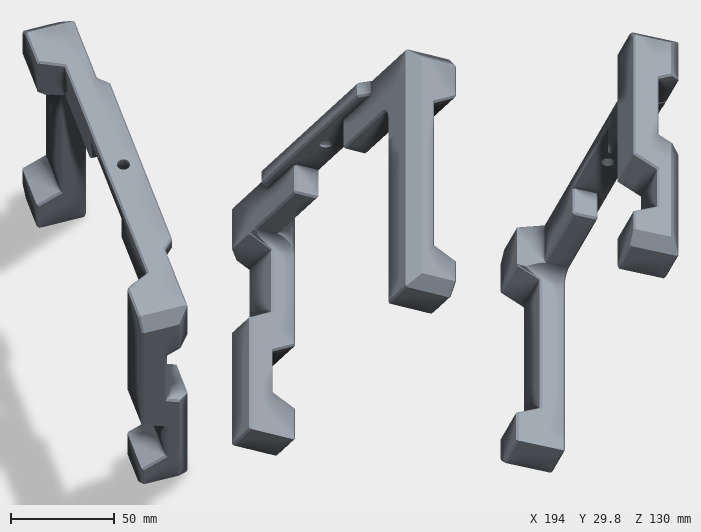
import cadquery as cq
width = 194.0
height = 130.0
body_depth = 24.8
tab_depth = 5.0

leg_width = 24.8
beam_height = 23.3
window_width = 49.9
window_height = 15.3
corner_cut = 6.0
inner_radius = 6.0
edge_break = 1.0

relief_depth = 12.0
relief_run = 6.0
left_block_height = 22.9
right_block_height = 78.2
foot_height = 17.5
rear_foot_height = 61.3

tab_width = 100.1
hole_diameter = 6.2
hole_from_tab_face = 9.0

half_width = width / 2
inner_half = half_width - leg_width
half_window = window_width / 2
beam_bottom = height - beam_height
tab_height = beam_height - window_height
relief_slope = relief_run / relief_depth
clearance = 2.0
flare_taper = -45


def edge_at(x, y, z):
    """Selector for the single edge whose middle is closest to the point (x, y, z)."""
    return cq.NearestToPointSelector((x, y, z))


def frame():
    """Inverted-U frame with cut outer corners and broken front and rear edges."""
    blank = (
        cq.Workplane("XZ")
        .moveTo(-half_width, corner_cut)
        .lineTo(-half_width, height - corner_cut)
        .lineTo(-half_width + corner_cut, height)
        .lineTo(half_width - corner_cut, height)
        .lineTo(half_width, height - corner_cut)
        .lineTo(half_width, corner_cut)
        .lineTo(half_width - corner_cut, 0)
        .lineTo(inner_half, 0)
        .lineTo(inner_half, beam_bottom)
        .lineTo(half_window, beam_bottom)
        .lineTo(half_window, height - tab_height)
        .lineTo(-half_window, height - tab_height)
        .lineTo(-half_window, beam_bottom)
        .lineTo(-inner_half, beam_bottom)
        .lineTo(-inner_half, 0)
        .lineTo(-half_width + corner_cut, 0)
        .close()
        .extrude(-body_depth)
    )
    mid_depth = body_depth / 2
    for side in (-1, 1):
        blank = blank.edges(edge_at(side * inner_half, mid_depth, beam_bottom)).fillet(inner_radius)
        blank = blank.edges(edge_at(side * half_window, mid_depth, beam_bottom)).chamfer(edge_break)
        blank = blank.edges(edge_at(side * half_width, body_depth, height / 2)).chamfer(corner_cut)
    blank = blank.faces("<Y").chamfer(edge_break)
    return blank.faces(">Y").edges("not(<X or >X)").chamfer(edge_break)


def recess_profile(plane, offset, low, high):
    """Trapezoid of a slanted-wall recess between low and high, drawn open to the front face."""
    spread = clearance * relief_slope
    return (
        cq.Workplane(plane)
        .workplane(offset=offset)
        .polyline(
            [
                (-clearance, low - spread),
                (relief_depth, low + relief_run),
                (relief_depth, high - relief_run),
                (-clearance, high + spread),
            ]
        )
        .close()
    )


def flare(plane, offset, low, high, run):
    """Widening end of a recess: it grows outward at 45 degrees over the given run."""
    return recess_profile(plane, offset, low, high).extrude(run, taper=flare_taper)


def leg_recess(low, high):
    """Recess across the right leg, bevelled on both sides and running on through the inner fillet."""
    start = inner_half - inner_radius
    cutter = recess_profile("YZ", start, low, high).extrude(half_width - start)
    cutter = cutter.union(flare("YZ", half_width - edge_break, low, high, edge_break))
    return cutter.union(flare("YZ", inner_half + edge_break, low, high, -edge_break))


def rear_recess():
    """Recess in the rear face of the right leg, made by turning a front recess back to front."""
    front_cutter = leg_recess(rear_foot_height, height - left_block_height)
    return front_cutter.mirror("XZ", (0, body_depth / 2, 0))


def beam_recess():
    """Recess across the beam between the legs, bevelled along its top edge."""
    cutter = recess_profile("YX", -height, -inner_half, inner_half).extrude(height)
    return cutter.union(flare("YX", edge_break - height, -inner_half, inner_half, -edge_break))


def right_wall_bevel():
    """Bevel where the beam recess meets the front face of the right leg."""
    bevel_depth = edge_break / (1 - relief_slope)
    return (
        cq.Workplane("XY")
        .polyline(
            [
                (inner_half + edge_break, 0),
                (inner_half - bevel_depth * relief_slope, bevel_depth),
                (inner_half - bevel_depth * relief_slope, 0),
            ]
        )
        .close()
        .extrude(height)
    )


def tab():
    """Rear tab with slanted ends, rooted in the body so that it covers the rear edge bevel."""
    half_tab = tab_width / 2
    half_root = half_tab + tab_depth
    tab_face = body_depth + tab_depth
    root = body_depth - edge_break
    bar = (
        cq.Workplane("XY", origin=(0, 0, height - tab_height))
        .polyline(
            [
                (-half_root, root),
                (-half_root, body_depth),
                (-half_tab, tab_face),
                (half_tab, tab_face),
                (half_root, body_depth),
                (half_root, root),
            ]
        )
        .close()
        .extrude(tab_height)
    )
    return bar.faces(">Z or <Z").edges("not <Y").edges("not(<X or >X)").chamfer(edge_break)


def bevel_front_edges(body):
    """Bevel the lower front edges of the beam, the left window wall and the left block."""
    beam_edge_middle = (half_window + edge_break + inner_half - relief_run) / 2
    edge_middles = [
        (-beam_edge_middle, relief_depth, beam_bottom),
        (beam_edge_middle, relief_depth, beam_bottom),
        (-half_window, relief_depth, beam_bottom + window_height / 2),
        (leg_width / 2 - half_width, 0, height - left_block_height),
    ]
    for middle in edge_middles:
        body = body.edges(edge_at(*middle)).chamfer(edge_break)
    return body


def hole():
    """Vertical hole through the middle of the beam."""
    hole_y = body_depth + tab_depth - hole_from_tab_face
    return cq.Workplane("XY").center(0, hole_y).circle(hole_diameter / 2).extrude(height)


body = frame()
body = body.cut(beam_recess())
body = body.cut(right_wall_bevel())
body = body.cut(leg_recess(foot_height, height - left_block_height).mirror("YZ"))
body = body.cut(leg_recess(foot_height, height - right_block_height))
body = body.cut(rear_recess())
body = body.union(tab())
body = bevel_front_edges(body)
result = body.cut(hole())